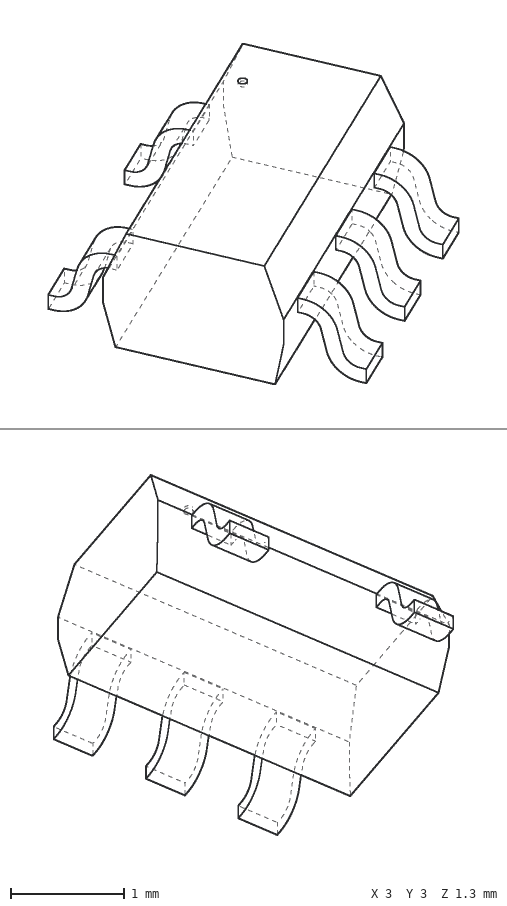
import cadquery as cq
import math

HOUSING_LENGTH = 3.0
HOUSING_WIDTH = 1.705
TAPER_HEIGHT = 0.51
BAND_HEIGHT = 0.28
TOP_SIDE_INSET = 0.2
BOTTOM_SIDE_INSET = 0.1
END_INSET = 0.048
BAND_BOTTOM = TAPER_HEIGHT
BAND_TOP = BAND_BOTTOM + BAND_HEIGHT
HOUSING_HEIGHT = BAND_TOP + TAPER_HEIGHT

MARKER_DIAMETER = 0.085
MARKER_DEPTH = 0.03
MARKER_X = -0.462

LEAD_SPAN = 3.0
LEAD_PITCH = 0.95
LEAD_WIDTH = 0.402
LEAD_THICKNESS = 0.16
LEAD_TOP = 0.777
BEND_RADIUS = 0.245
LEAD_FLAT = 0.057
MARKER_Y = LEAD_PITCH
LEFT_LEAD_ROWS = (-1, 1)
RIGHT_LEAD_ROWS = (-1, 0, 1)


def tapered_half(band_z, taper_height, side_inset):
    """Loft from the full housing section at band_z to a smaller end face."""
    return (
        cq.Workplane("XY", origin=(0, 0, band_z))
        .rect(HOUSING_WIDTH, HOUSING_LENGTH)
        .workplane(offset=taper_height)
        .rect(HOUSING_WIDTH - 2 * side_inset, HOUSING_LENGTH - 2 * END_INSET)
        .loft(ruled=True)
    )


def make_marker():
    """Disc whose upper face lies in the housing's top face."""
    return (
        cq.Workplane("XY", origin=(MARKER_X, MARKER_Y, HOUSING_HEIGHT - MARKER_DEPTH))
        .circle(MARKER_DIAMETER / 2)
        .extrude(MARKER_DEPTH)
    )


def make_housing(marker):
    """Band with both tapered halves, recessed for the marker."""
    band = (
        cq.Workplane("XY", origin=(0, 0, BAND_BOTTOM))
        .rect(HOUSING_WIDTH, HOUSING_LENGTH)
        .extrude(BAND_HEIGHT)
    )
    upper_half = tapered_half(BAND_TOP, TAPER_HEIGHT, TOP_SIDE_INSET)
    lower_half = tapered_half(BAND_BOTTOM, -TAPER_HEIGHT, BOTTOM_SIDE_INSET)
    return band.union(upper_half).union(lower_half).cut(marker)


def make_left_lead(center_y):
    """S-shaped lead running from its tip at -X to the housing wall."""
    tip_x = -LEAD_SPAN / 2
    wall_x = -HOUSING_WIDTH / 2
    foot_x = tip_x + LEAD_FLAT
    shoulder_x = wall_x - LEAD_FLAT
    shoulder_z = LEAD_TOP - LEAD_THICKNESS
    inner_radius = BEND_RADIUS - LEAD_THICKNESS / 2
    outer_radius = BEND_RADIUS + LEAD_THICKNESS / 2

    foot_center = (foot_x, LEAD_THICKNESS + inner_radius)
    shoulder_center = (shoulder_x, shoulder_z - inner_radius)

    run = shoulder_center[0] - foot_center[0]
    rise = shoulder_center[1] - foot_center[1]
    leg_length = math.sqrt(run**2 + rise**2 - (2 * BEND_RADIUS) ** 2)
    leg_angle = math.atan2(rise, run) + math.atan2(2 * BEND_RADIUS, leg_length)

    def foot_point(radius, angle):
        return (
            foot_center[0] + radius * math.sin(angle),
            foot_center[1] - radius * math.cos(angle),
        )

    def shoulder_point(radius, angle):
        return (
            shoulder_center[0] - radius * math.sin(angle),
            shoulder_center[1] + radius * math.cos(angle),
        )

    half_angle = leg_angle / 2
    return (
        cq.Workplane("XZ", origin=(0, center_y, 0))
        .moveTo(tip_x, 0)
        .lineTo(foot_x, 0)
        .threePointArc(foot_point(outer_radius, half_angle), foot_point(outer_radius, leg_angle))
        .lineTo(*shoulder_point(inner_radius, leg_angle))
        .threePointArc(shoulder_point(inner_radius, half_angle), (shoulder_x, shoulder_z))
        .lineTo(wall_x, shoulder_z)
        .lineTo(wall_x, LEAD_TOP)
        .lineTo(shoulder_x, LEAD_TOP)
        .threePointArc(shoulder_point(outer_radius, half_angle), shoulder_point(outer_radius, leg_angle))
        .lineTo(*foot_point(inner_radius, leg_angle))
        .threePointArc(foot_point(inner_radius, half_angle), (foot_x, LEAD_THICKNESS))
        .lineTo(tip_x, LEAD_THICKNESS)
        .close()
        .extrude(LEAD_WIDTH / 2, both=True)
    )


def make_right_lead(center_y):
    """Mirror image of a left lead."""
    return make_left_lead(center_y).mirror("YZ")


marker = make_marker()
housing = make_housing(marker)

leads = []
for row in LEFT_LEAD_ROWS:
    leads.append(make_left_lead(row * LEAD_PITCH).val())
for row in RIGHT_LEAD_ROWS:
    leads.append(make_right_lead(row * LEAD_PITCH).val())

result = cq.Compound.makeCompound([housing.val(), marker.val(), *leads])